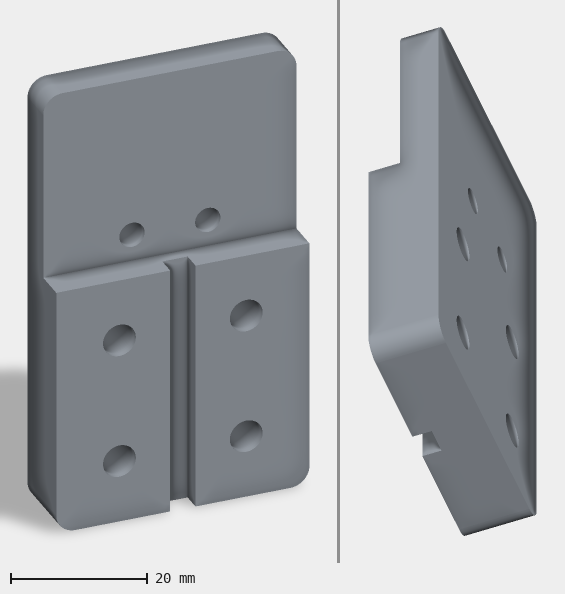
import cadquery as cq

height = 70.0
width = 40.0
total_thickness = 11.0

plate_thickness = 6.0
block_height = 40.0
corner_radius = 3.0

groove_width = 4.0
groove_depth = 3.0

small_hole_diameter = 4.0
small_hole_spacing = 12.0
small_hole_height = 44.25
large_hole_diameter = 5.2
large_hole_spacing = 20.0
large_hole_bottom = 10.0


def make_body():
    """Stepped plate with its four outer corners rounded."""
    plate = cq.Workplane("XY").box(plate_thickness, width, height, centered=(False, True, False))
    block = cq.Workplane("XY").box(total_thickness, width, block_height, centered=(False, True, False))
    bottom_edges = block.union(plate).faces("<Z").edges("|X")
    top_edges = bottom_edges.end(2).faces(">Z").edges("|X")
    return bottom_edges.add(top_edges).fillet(corner_radius)


def make_groove():
    """Groove cutter running the full height of the block."""
    groove = cq.Workplane("XY").box(groove_depth, groove_width, block_height, centered=(False, True, False))
    return groove.translate((total_thickness - groove_depth, 0, 0))


def make_holes(diameter, centers):
    """Cylinders along X that pass through the full thickness."""
    return cq.Workplane("YZ").pushPoints(centers).circle(diameter / 2).extrude(total_thickness)


small_centers = [(side * small_hole_spacing / 2, small_hole_height) for side in (-1, 1)]
large_centers = [
    (side * large_hole_spacing / 2, large_hole_bottom + row * large_hole_spacing)
    for side in (-1, 1)
    for row in (0, 1)
]

result = (
    make_body()
    .cut(make_groove())
    .cut(make_holes(small_hole_diameter, small_centers))
    .cut(make_holes(large_hole_diameter, large_centers))
)